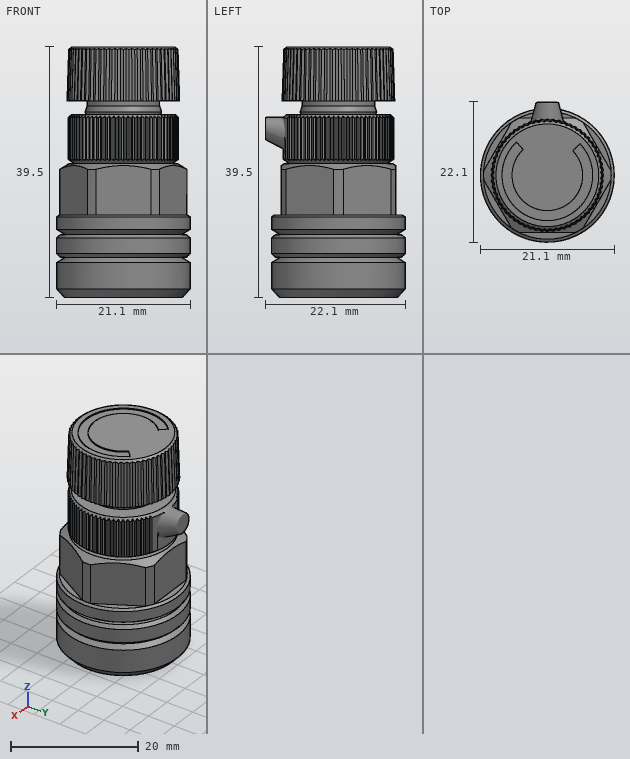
import cadquery as cq
import math

total_height = 39.45
total_depth = 22.05

middle_disc_diameter = 21.1
middle_disc_radius = middle_disc_diameter / 2
disc_radius = 10.55
groove_radius = 9.2
rim_radius = 9.95
top_rim_radius = 10.05
base_bottom_radius = 9.25
base_chamfer_height = 1.4
lower_disc_top = 5.52
lower_groove_top = 6.35
middle_disc_bottom = 6.95
middle_disc_top = 9.4
middle_rim_top = 9.9
upper_disc_bottom = 10.73
upper_disc_top = 12.7
base_top = 13.0

hex_across_flats = 18.05
hex_corner_radius = 10.0
hex_top_radius = 8.55
hex_cone_height = 0.85
hex_top = 21.05

ring_radius = 8.7
ring_cone_radius = 7.7
ring_cone_top = 21.77
ring_top = 28.8
ring_chamfer = 0.5
ring_groove_count = 72
ring_groove_depth = 0.255
omitted_grooves_each_side = 4
nub_direction = 90

nub_tip_y = total_depth - middle_disc_radius
nub_base_y = 5.9
nub_tip_radius = 1.77
nub_taper = 0.52
nub_top = 28.4
nub_chamfer_width = 0.08
nub_chamfer_length = 0.25
nub_root_fillet = 0.25

flare_bottom_radius = 5.88
flare_radius = 6.05
flare_edge_height = 0.45
flare_top = 30.17
neck_radius = 5.7

cap_bottom = 30.95
cap_bottom_radius = 8.87
cap_top_radius = 8.6
cap_chamfer_width = 0.5
cap_chamfer_height = 0.4
cap_tooth_count = 60
cap_tooth_depth = 0.2

recess_outer_radius = 7.15
recess_inner_radius = 5.55
recess_depth = 0.2
recess_start_angle = 133.0
recess_end_angle = 44.0 + 360


def polar(radius, degrees):
    angle = math.radians(degrees)
    return (radius * math.cos(angle), radius * math.sin(angle))


def revolved(profile):
    """Solid of revolution about Z from (radius, height) points running between two points on the axis."""
    return cq.Workplane("XZ").polyline(profile).close().revolve(360, (0, 0, 0), (0, 1, 0))


def grooved_base():
    return revolved([
        (0, 0),
        (base_bottom_radius, 0),
        (disc_radius, base_chamfer_height),
        (disc_radius, lower_disc_top),
        (groove_radius, lower_groove_top),
        (rim_radius, lower_groove_top),
        (middle_disc_radius, middle_disc_bottom),
        (middle_disc_radius, middle_disc_top),
        (rim_radius, middle_rim_top),
        (groove_radius, middle_rim_top),
        (disc_radius, upper_disc_bottom),
        (disc_radius, upper_disc_top),
        (top_rim_radius, base_top),
        (0, base_top),
    ])


def hexagon():
    prism = (
        cq.Workplane("XY")
        .workplane(offset=base_top)
        .polygon(6, hex_across_flats, circumscribed=True)
        .extrude(hex_top - base_top)
        .rotate((0, 0, 0), (0, 0, 1), 30)
    )
    envelope = revolved([
        (0, base_top),
        (hex_corner_radius, base_top),
        (hex_corner_radius, hex_top - hex_cone_height),
        (hex_top_radius, hex_top),
        (0, hex_top),
    ])
    return prism.intersect(envelope)


def knurled_ring():
    pitch = 360 / ring_groove_count
    half_groove = math.degrees(ring_groove_depth / ring_radius)
    first_groove = omitted_grooves_each_side + 1
    last_groove = ring_groove_count - first_groove
    outline = []
    for i in range(first_groove, last_groove + 1):
        middle = nub_direction + i * pitch
        outline.append(polar(ring_radius, middle - half_groove))
        outline.append(polar(ring_radius - ring_groove_depth, middle))
        outline.append(polar(ring_radius, middle + half_groove))
    knurl = (
        cq.Workplane("XY")
        .workplane(offset=hex_top)
        .polyline(outline)
        .threePointArc(polar(ring_radius, nub_direction), outline[0])
        .close()
        .extrude(ring_top - hex_top)
    )
    envelope = revolved([
        (0, hex_top),
        (ring_cone_radius, hex_top),
        (ring_radius, ring_cone_top),
        (ring_radius, ring_top - ring_chamfer),
        (ring_radius - ring_chamfer, ring_top),
        (0, ring_top),
    ])
    return knurl.intersect(envelope)


def side_nub():
    length = nub_tip_y - nub_base_y
    base_radius = nub_tip_radius + nub_taper / 2 * length
    return (
        cq.Workplane("XZ", origin=(0, nub_base_y, 0))
        .center(0, nub_top - base_radius)
        .circle(base_radius)
        .workplane(offset=-length)
        .center(0, base_radius - nub_tip_radius)
        .circle(nub_tip_radius)
        .loft(ruled=True)
        .faces(">Y")
        .chamfer(nub_chamfer_width, nub_chamfer_length)
    )


def ring_with_nub():
    body = knurled_ring().union(side_nub())
    return body.edges("%BSPLINE").fillet(nub_root_fillet)


def neck():
    return revolved([
        (0, ring_top),
        (flare_bottom_radius, ring_top),
        (flare_radius, ring_top + flare_edge_height),
        (neck_radius, flare_top),
        (neck_radius, cap_bottom),
        (0, cap_bottom),
    ])


def tooth_outline(peak_radius):
    step = 180 / cap_tooth_count
    outline = []
    for i in range(cap_tooth_count):
        outline.append(polar(peak_radius, 2 * i * step))
        outline.append(polar(peak_radius - cap_tooth_depth, (2 * i + 1) * step))
    return outline


def knurled_cap():
    teeth = (
        cq.Workplane("XY")
        .workplane(offset=cap_bottom)
        .polyline(tooth_outline(cap_bottom_radius))
        .close()
        .workplane(offset=total_height - cap_bottom)
        .polyline(tooth_outline(cap_top_radius))
        .close()
        .loft(ruled=True)
    )
    envelope = revolved([
        (0, cap_bottom),
        (cap_bottom_radius, cap_bottom),
        (cap_bottom_radius, total_height - cap_chamfer_height),
        (cap_top_radius, total_height - cap_chamfer_height),
        (cap_top_radius - cap_chamfer_width, total_height),
        (0, total_height),
    ])
    return teeth.intersect(envelope)


def top_recess():
    middle_angle = (recess_start_angle + recess_end_angle) / 2
    return (
        cq.Workplane("XY")
        .workplane(offset=total_height - recess_depth)
        .moveTo(*polar(recess_outer_radius, recess_start_angle))
        .threePointArc(polar(recess_outer_radius, middle_angle), polar(recess_outer_radius, recess_end_angle))
        .lineTo(*polar(recess_inner_radius, recess_end_angle))
        .threePointArc(polar(recess_inner_radius, middle_angle), polar(recess_inner_radius, recess_start_angle))
        .close()
        .extrude(recess_depth)
    )


result = (
    grooved_base()
    .union(hexagon())
    .union(ring_with_nub())
    .union(neck())
    .union(knurled_cap())
    .cut(top_recess())
)